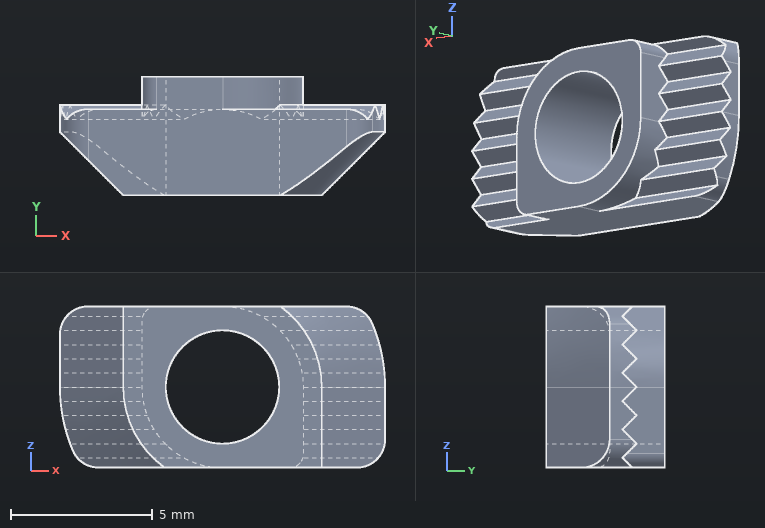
import cadquery as cq
import math

length = 11.5
height = 5.7
depth = 4.2
bore_diameter = 4.0
front_face_length = 7.02
tooth_tip_y = 3.2
tooth_pitch = 1.0
tooth_depth = tooth_pitch / 2
flange_corner_radius = 1.0
boss_corner_radius = 0.51

half_length = length / 2
half_height = height / 2
taper = half_length - front_face_length / 2


def with_opposite_half(half):
    """Join a +X half with its copy turned half a turn about the Y axis."""
    return half.union(half.rotate((0, 0, 0), (0, 1, 0), 180))


def round_edge_pair(block, x, z, radius, y_end):
    """Fillet the Y edge at (x, z) and the opposite one at (-x, -z)."""
    upper = cq.selectors.NearestToPointSelector((x, y_end / 2, z))
    lower = cq.selectors.NearestToPointSelector((-x, y_end / 2, -z))
    return block.edges("|Y").edges(upper + lower).fillet(radius)


def turning_block(half_width, corner_radius, y_end):
    """Prism along Y with each end half flat and half an arc about Y.

    The corners beside the flat halves are rounded with corner_radius.
    """
    arc_end_x = math.sqrt(half_width**2 - half_height**2)
    arc_middle = math.asin(half_height / half_width) / 2
    middle_point = (half_width * math.cos(arc_middle), half_width * math.sin(arc_middle))

    outline = (
        cq.Workplane("XZ")
        .moveTo(half_width, 0)
        .threePointArc(middle_point, (arc_end_x, half_height))
        .lineTo(-half_width, half_height)
        .lineTo(-half_width, 0)
        .threePointArc((-middle_point[0], -middle_point[1]), (-arc_end_x, -half_height))
        .lineTo(half_width, -half_height)
        .close()
    )
    block = outline.extrude(-y_end)
    return round_edge_pair(block, -half_width, half_height, corner_radius, y_end)


def bevel_envelope():
    """Flat 45 degree bevels on two opposite quadrants, conical ones on the others."""
    profile = [
        (0, 0),
        (front_face_length / 2, 0),
        (half_length, taper),
        (half_length, tooth_tip_y),
        (0, tooth_tip_y),
    ]
    flat_quadrant = cq.Workplane("XY").polyline(profile).close().extrude(-half_height)
    cone = cq.Workplane("XY").polyline(profile).close().revolve(360, (0, 0), (0, 1))
    upper_right = cq.Workplane("XY").box(
        half_length, tooth_tip_y, half_height, centered=False
    )
    return with_opposite_half(flat_quadrant.union(cone.intersect(upper_right)))


def serration_grooves():
    """V grooves along X, spaced so that a crest lies at mid-height."""
    grooves_per_side = math.ceil(half_height / tooth_pitch)
    grooves = cq.Workplane("YZ").workplane(offset=-half_length)
    for index in range(-grooves_per_side, grooves_per_side):
        crest_z = index * tooth_pitch
        grooves = grooves.polyline([
            (tooth_tip_y, crest_z),
            (tooth_tip_y - tooth_depth, crest_z + tooth_pitch / 2),
            (tooth_tip_y, crest_z + tooth_pitch),
        ]).close()
    return grooves.extrude(length)


flange = turning_block(half_length, flange_corner_radius, tooth_tip_y)
arc_end_x = math.sqrt(half_length**2 - half_height**2)
flange = round_edge_pair(flange, arc_end_x, half_height, flange_corner_radius, tooth_tip_y)
flange = flange.intersect(bevel_envelope()).cut(serration_grooves())

boss = turning_block(half_height, boss_corner_radius, depth)

bore = cq.Workplane("XZ").circle(bore_diameter / 2).extrude(-depth)

result = flange.union(boss).cut(bore)